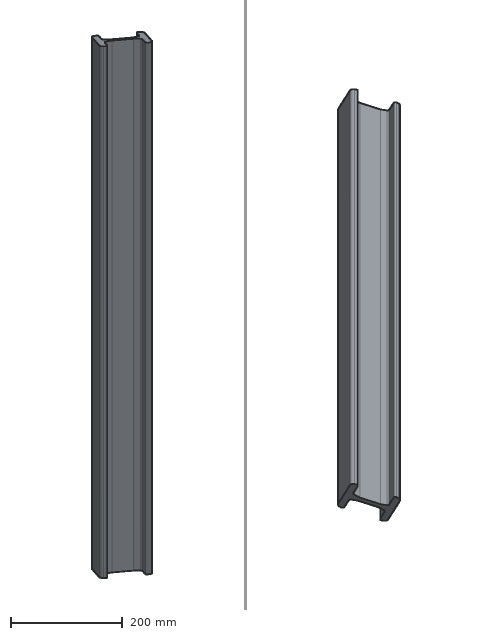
import cadquery as cq
import math

length = 1000.0
width = 65.0
depth = 98.0

flange_thickness = 14.0
inner_face_slope = math.radians(0.9)
tip_lean = math.radians(10.0)
outer_corner_radius = 7.0
inner_corner_radius = 3.0

web_thickness = 9.0
web_root_thickness = 15.0
thin_web_height = 40.0
root_fillet_radius = 4.0

root_x = web_root_thickness / 2
root_y = depth / 2 - flange_thickness

round_center_x = width / 2 - inner_corner_radius
inner_face_y = root_y + (round_center_x - root_x) * math.tan(inner_face_slope)
round_center_y = inner_face_y + inner_corner_radius / math.cos(inner_face_slope)

right_angle = math.pi / 2
bisector_angle = (tip_lean + inner_face_slope - right_angle) / 2
half_turn = (tip_lean - inner_face_slope + right_angle) / 2
corner_distance = inner_corner_radius / math.cos(half_turn)
inner_corner_x = round_center_x + corner_distance * math.cos(bisector_angle)
inner_corner_y = round_center_y + corner_distance * math.sin(bisector_angle)

outer_corner_y = depth / 2
outer_corner_x = inner_corner_x - (outer_corner_y - inner_corner_y) * math.tan(tip_lean)

def quarter_outline():
    """Closed outline of the +X, +Y quarter of the section, with sharp corners."""
    return (
        cq.Workplane("XY")
        .moveTo(0, 0)
        .lineTo(web_thickness / 2, 0)
        .lineTo(web_thickness / 2, thin_web_height / 2)
        .lineTo(root_x, root_y)
        .lineTo(inner_corner_x, inner_corner_y)
        .lineTo(outer_corner_x, outer_corner_y)
        .lineTo(0, outer_corner_y)
        .close()
    )

def round_edge_at(body, x, y, radius):
    """Round the lengthwise edge that passes through (x, y)."""
    nearest_edge = cq.selectors.NearestToPointSelector((x, y, length / 2))
    return body.edges("|Z").edges(nearest_edge).fillet(radius)

def quarter_beam():
    """One quarter of the beam, with its three lengthwise edges rounded."""
    body = quarter_outline().extrude(length)
    body = round_edge_at(body, outer_corner_x, outer_corner_y, outer_corner_radius)
    body = round_edge_at(body, inner_corner_x, inner_corner_y, inner_corner_radius)
    return round_edge_at(body, root_x, root_y, root_fillet_radius)

quarter = quarter_beam()
half = quarter.union(quarter.mirror("YZ"))
result = half.union(half.mirror("XZ")).clean()